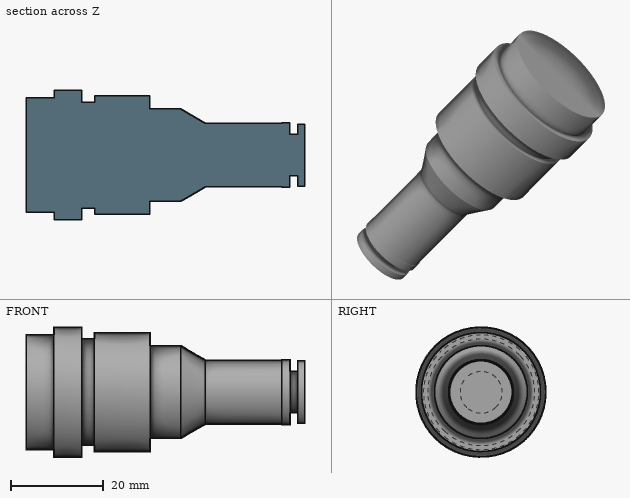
import cadquery as cq

TOTAL_LENGTH = 60.1
TAPER_LENGTH = 5.3
SHOULDER_DIAMETER = 20.0
SLEEVE_DIAMETER = 13.8

WIDE_STEPS = [
    (6.0, 24.8),
    (6.0, 28.0),
    (2.7, 23.0),
    (12.0, 25.65),
    (6.6, SHOULDER_DIAMETER),
]

NARROW_STEPS = [
    (16.45, SLEEVE_DIAMETER),
    (1.8, 14.0),
    (1.6, 9.0),
]
FLANGE_DIAMETER = 13.5


def step_points(start, steps):
    """Return the (x, radius) corners of consecutive cylinders, and the x where they end."""
    points = []
    x = start
    for length, diameter in steps:
        points.append((x, diameter / 2))
        x += length
        points.append((x, diameter / 2))
    return points, x


wide_points, taper_start = step_points(0.0, WIDE_STEPS)
narrow_points, flange_start = step_points(taper_start + TAPER_LENGTH, NARROW_STEPS)
flange_length = TOTAL_LENGTH - flange_start
flange_points, end = step_points(flange_start, [(flange_length, FLANGE_DIAMETER)])

profile = [(0.0, 0.0)] + wide_points + narrow_points + flange_points + [(end, 0.0)]
result = cq.Workplane("XY").polyline(profile).close().revolve(360, (0, 0, 0), (1, 0, 0))